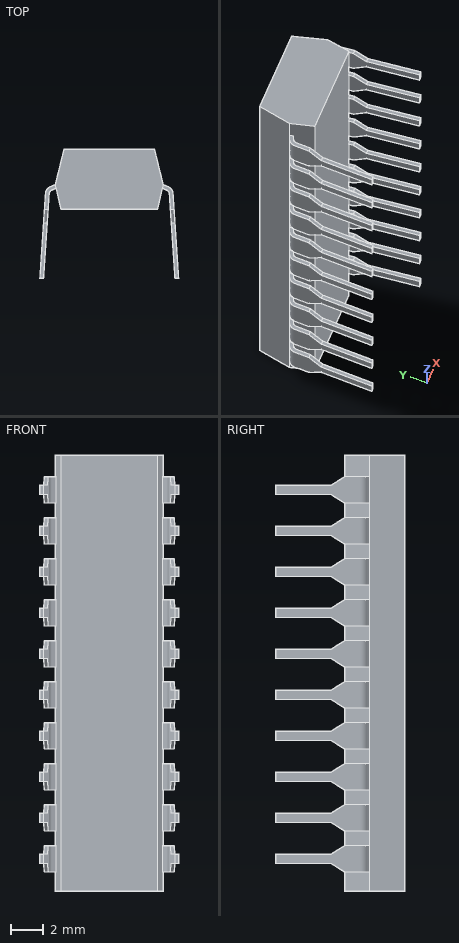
import cadquery as cq
import math


BODY_LENGTH = 27.05
BODY_BACK_Y = 2.2
BODY_FRONT_Y = -1.55
BACK_HALF_WIDTH = 2.8
PARTING_HALF_WIDTH = 3.35
FRONT_HALF_WIDTH = 3.0

LEADS_PER_ROW = 10
LEAD_PITCH = 2.55
LEAD_SHIFT_Z = -0.068

LEAD_THICKNESS = 0.25
LEAD_SPAN = 8.63
TIP_HALF_SPAN = LEAD_SPAN / 2
TIP_Y = -5.82
ROOT_SLOPE = 22.0
SPLAY_ANGLE = 3.8
BEND_RADIUS = 0.51
EMBED_DEPTH = 0.55

SHOULDER_WIDTH = 1.65
PIN_WIDTH = 0.6
TAPER_START_Y = BODY_FRONT_Y
TAPER_END_Y = -2.38


def make_body():
    """Hexagonal prism, widest at the parting plane."""
    outline = [
        (BACK_HALF_WIDTH, BODY_BACK_Y),
        (PARTING_HALF_WIDTH, 0),
        (FRONT_HALF_WIDTH, BODY_FRONT_Y),
        (-FRONT_HALF_WIDTH, BODY_FRONT_Y),
        (-PARTING_HALF_WIDTH, 0),
        (-BACK_HALF_WIDTH, BODY_BACK_Y),
    ]
    return cq.Workplane("XY").polyline(outline).close().extrude(BODY_LENGTH / 2, both=True)


def make_lead_strip():
    """Bent +X lead at full shoulder width, from inside the body to the tip."""
    root_slope = math.radians(ROOT_SLOPE)
    splay = math.radians(SPLAY_ANGLE)
    root_angle = math.pi / 2 - root_slope
    middle_angle = (root_angle + splay) / 2
    inner_radius = BEND_RADIUS - LEAD_THICKNESS

    splay_offset = TIP_HALF_SPAN * math.cos(splay) + TIP_Y * math.sin(splay) - BEND_RADIUS
    root_offset = PARTING_HALF_WIDTH * math.cos(root_angle) - BEND_RADIUS
    spread = math.sin(root_angle - splay)
    bend_x = (splay_offset * math.sin(root_angle) - root_offset * math.sin(splay)) / spread
    bend_y = (root_offset * math.cos(splay) - splay_offset * math.cos(root_angle)) / spread

    def on_bend(radius, angle):
        return (bend_x + radius * math.cos(angle), bend_y + radius * math.sin(angle))

    root_x = PARTING_HALF_WIDTH - EMBED_DEPTH
    root_outer_y = EMBED_DEPTH * math.tan(root_slope)
    root_inner_y = root_outer_y - LEAD_THICKNESS / math.cos(root_slope)
    tip_inner_x = TIP_HALF_SPAN - LEAD_THICKNESS / math.cos(splay)
    return (
        cq.Workplane("XY")
        .moveTo(root_x, root_outer_y)
        .lineTo(*on_bend(BEND_RADIUS, root_angle))
        .threePointArc(on_bend(BEND_RADIUS, middle_angle), on_bend(BEND_RADIUS, splay))
        .lineTo(TIP_HALF_SPAN, TIP_Y)
        .lineTo(tip_inner_x, TIP_Y)
        .lineTo(*on_bend(inner_radius, splay))
        .threePointArc(on_bend(inner_radius, middle_angle), on_bend(inner_radius, root_angle))
        .lineTo(root_x, root_inner_y)
        .close()
        .extrude(SHOULDER_WIDTH / 2, both=True)
    )


def make_lead():
    """Lead strip trimmed to a wide shoulder that tapers to a narrow pin."""
    width_outline = [
        (BODY_BACK_Y, SHOULDER_WIDTH / 2),
        (TAPER_START_Y, SHOULDER_WIDTH / 2),
        (TAPER_END_Y, PIN_WIDTH / 2),
        (TIP_Y, PIN_WIDTH / 2),
        (TIP_Y, -PIN_WIDTH / 2),
        (TAPER_END_Y, -PIN_WIDTH / 2),
        (TAPER_START_Y, -SHOULDER_WIDTH / 2),
        (BODY_BACK_Y, -SHOULDER_WIDTH / 2),
    ]
    width_blank = cq.Workplane("YZ").polyline(width_outline).close().extrude(TIP_HALF_SPAN)
    return make_lead_strip().intersect(width_blank)


right_lead = make_lead()
left_lead = right_lead.mirror("YZ")

result = make_body()
for index in range(LEADS_PER_ROW):
    lead_z = (index - (LEADS_PER_ROW - 1) / 2) * LEAD_PITCH + LEAD_SHIFT_Z
    for lead in (right_lead, left_lead):
        result = result.union(lead.translate((0, 0, lead_z)))